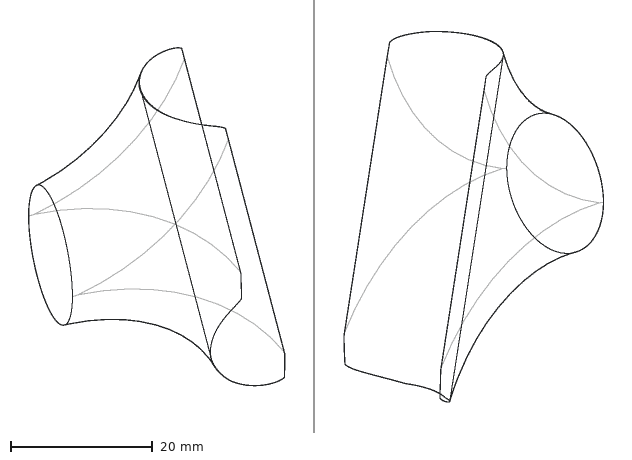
import cadquery as cq

width = 20.0
height = 50.0
max_y = 31.6
margin = 5.0

pipe_radius = width / 2
bend_radius = 35.1
lower_centre = (1.3, -35.25)
upper_centre = (-10.1, 33.2)

trough_radius = 10.05
trough_axis_offset = 1.4
trough_tilt = 11.9
back_edge_y = 27.85


def bend_cutter(centre):
    """Everything inside the bend, outside the round pipe surface."""
    half_width = width / 2 + margin
    disc = (
        cq.Workplane("YZ")
        .center(*centre)
        .circle(bend_radius)
        .extrude(half_width, both=True)
    )
    pipe = cq.Workplane(
        cq.Solid.makeTorus(
            bend_radius, pipe_radius, cq.Vector(0, *centre), cq.Vector(1, 0, 0)
        )
    )
    return disc.cut(pipe)


def trough_cutter():
    """Round trough, leaving thin side lips, plus all the space behind the back edge."""
    length = 2 * height
    trough = (
        cq.Workplane("XY")
        .center(0, trough_axis_offset)
        .circle(trough_radius)
        .extrude(length / 2, both=True)
    )
    behind = cq.Workplane("XY").box(
        width + margin, height, length, centered=(True, False, True)
    )
    return (
        trough.union(behind)
        .rotate((0, 0, 0), (1, 0, 0), trough_tilt)
        .translate((0, back_edge_y, 0))
    )


slab = cq.Workplane("XY").box(width, max_y, height, centered=(True, False, True))
result = slab.cut(bend_cutter(lower_centre)).cut(bend_cutter(upper_centre))
result = result.cut(trough_cutter())